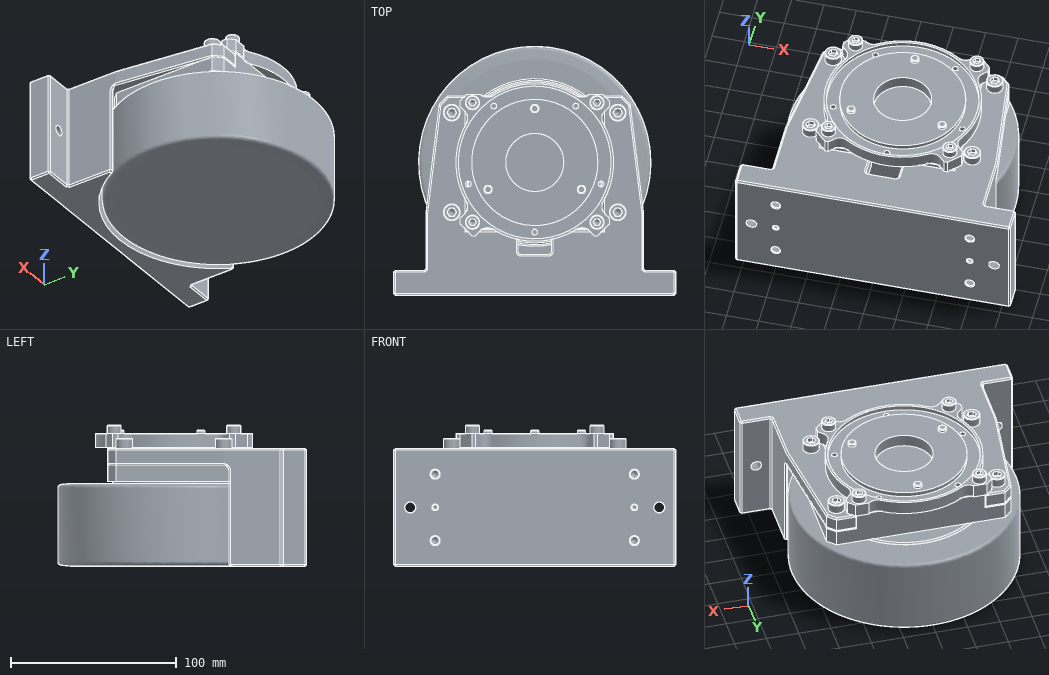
import cadquery as cq
import math


BASE_WIDTH = 170.0
BASE_THICKNESS = 15.0
BASE_FRONT_Y = -80.0
BASE_BACK_Y = BASE_FRONT_Y + BASE_THICKNESS
BRACKET_HEIGHT = 71.0
BODY_WIDTH = 131.0
TAPER_START_Y = -30.0
PLATE_WIDTH = 115.0
PLATE_BACK_Y = 40.0
PLATE_CORNER = 5.0
PLATE_BOTTOM_Z = 61.0
WALL_BACK_Y = -33.2
WALL_FILLET = 4.0
EDGE_CHAMFER = 1.0

MOTOR_RADIUS = 70.0
MOTOR_HEIGHT = 50.0
MOTOR_FLAT_RADIUS = 62.0
MOTOR_CONE_DROP = 0.8
MOTOR_RIM_FILLET = 2.3
MOTOR_POCKET_RADIUS = 72.0
GROOVE_INNER_RADIUS = 48.5
GROOVE_OUTER_RADIUS = 50.5
GROOVE_DEPTH = 1.0
SPACER_RADIUS = 37.0
HOUSING_BOTTOM_Z = 51.0
GEAR_BODY_WIDTH = 80.0

OPENING_HALF_WIDTH = 40.5
OPENING_CHAMFER = 1.5
NOTCH_WIDTH = 20.0
NOTCH_FRONT_Y = -55.5
NOTCH_CORNER_RADIUS = 2.0

FLANGE_BOTTOM_Z = 71.5
FLANGE_TOP_Z = 80.0
FLANGE_RADIUS = 47.5
RIM_INNER_RADIUS = 46.0
RIM_DEPTH = 3.0
DISC_RADIUS = 38.0
BORE_DIAMETER = 35.0
BORE_DEPTH = 8.0
LUG_HALF_WIDTH = 7.0
LUG_REACH = 58.0
LUG_LIMIT_X = 45.0
LUG_LIMIT_FRONT_Y = -44.2
LUG_LIMIT_BACK_Y = 41.0
LUG_FILLET = 6.0
LUG_TRIM_X = 26.0
FLANGE_HOLE_DIAMETER = 3.4
FLANGE_HOLE_CIRCLE_RADIUS = 42.0
FLANGE_HOLE_COUNT = 5
PIN_DIAMETER = 5.0
PIN_HEIGHT = 2.0
PIN_CHAMFER = 0.5
PIN_CIRCLE_RADIUS = 32.5
PIN_COUNT = 3
FIRST_PIN_ANGLE = 90.0
FIRST_HOLE_ANGLE = 270.0

FLANGE_SCREW_X, FLANGE_SCREW_Y = 37.5, 36.0
FLANGE_SCREW_HEAD = (8.5, 5.0, 4.0)
PLATE_SCREW_X, PLATE_SCREW_Y = 50.0, 30.0
PLATE_SCREW_HEAD = (10.0, 6.0, 5.0)
HEAD_CHAMFER = 0.4
DRILL_POINT_ANGLE = 118.0

FRONT_HOLE_Z = BRACKET_HEIGHT / 2
TAPPED_X, TAPPED_RISE = 60.0, 20.0
TAPPED_DIAMETER, TAPPED_MOUTH, TAPPED_DEPTH = 5.0, 6.0, 12.0
DOWEL_DIAMETER, DOWEL_MOUTH, DOWEL_DEPTH = 3.0, 4.0, 8.0
CLEARANCE_X, CLEARANCE_DIAMETER = 75.0, 6.4

OVERLAP = 1.0


def corners(x, y):
    """The four points at (+-x, +-y)."""
    return [(sx * x, sy * y) for sx in (-1, 1) for sy in (-1, 1)]


def cylinder(radius, bottom, top):
    return cq.Workplane("XY").workplane(offset=bottom).circle(radius).extrude(top - bottom)


def box(x_min, x_max, y_min, y_max, z_min, z_max):
    size = (x_max - x_min, y_max - y_min, z_max - z_min)
    return cq.Workplane("XY").box(*size, centered=False).translate((x_min, y_min, z_min))


def circle_points(radius, count, first_angle):
    angles = [math.radians(first_angle + 360.0 * i / count) for i in range(count)]
    return [(radius * math.cos(a), radius * math.sin(a)) for a in angles]


def make_bracket():
    """Base flange, upright body and the tapered plate that overhangs the motor."""
    right_side = [
        (BASE_WIDTH / 2, BASE_FRONT_Y),
        (BASE_WIDTH / 2, BASE_BACK_Y),
        (BODY_WIDTH / 2, BASE_BACK_Y),
        (BODY_WIDTH / 2, TAPER_START_Y),
        (PLATE_WIDTH / 2, PLATE_BACK_Y - PLATE_CORNER),
        (PLATE_WIDTH / 2 - PLATE_CORNER, PLATE_BACK_Y),
    ]
    left_side = [(-x, y) for x, y in reversed(right_side)]
    bracket = cq.Workplane("XY").polyline(right_side + left_side).close().extrude(BRACKET_HEIGHT)
    base_edges = cq.selectors.BoxSelector(
        (-BASE_WIDTH, BASE_FRONT_Y - OVERLAP, 0), (BASE_WIDTH, BASE_BACK_Y + OVERLAP, BRACKET_HEIGHT)
    )
    bracket = bracket.edges("|Z").edges(base_edges).chamfer(EDGE_CHAMFER)

    space = box(
        -BASE_WIDTH, BASE_WIDTH, WALL_BACK_Y, PLATE_BACK_Y + OVERLAP, -OVERLAP, PLATE_BOTTOM_Z
    ).edges("<Y and >Z").fillet(WALL_FILLET)
    bracket = bracket.cut(space)
    bracket = bracket.faces(">Z or <Z").edges().chamfer(EDGE_CHAMFER)

    rim_front_y = WALL_BACK_Y - EDGE_CHAMFER / 2
    rim_top_z = PLATE_BOTTOM_Z + EDGE_CHAMFER / 2
    inner_x = PLATE_WIDTH / 2 - PLATE_CORNER
    rim = cq.selectors.BoxSelector(
        (-inner_x, PLATE_BACK_Y - EDGE_CHAMFER / 2, 0), (inner_x, PLATE_BACK_Y + OVERLAP, rim_top_z)
    )
    for side in (-1, 1):
        rim = rim + cq.selectors.BoxSelector(
            (side * inner_x, rim_front_y, 0), (side * BASE_WIDTH, PLATE_BACK_Y, rim_top_z)
        )
    bracket = bracket.edges(rim).chamfer(EDGE_CHAMFER)
    return bracket.cut(cylinder(MOTOR_POCKET_RADIUS, -OVERLAP, PLATE_BOTTOM_Z))


def cut_plate_openings(bracket):
    """Square seat for the gear body, open at the back, and the notch in front of it."""
    half = OPENING_HALF_WIDTH
    back = PLATE_BACK_Y + 2 * OPENING_CHAMFER
    opening = box(-half, half, -half, back, PLATE_BOTTOM_Z, BRACKET_HEIGHT)
    mouth = half + OPENING_CHAMFER
    opening_chamfer = (
        cq.Workplane("XY")
        .workplane(offset=BRACKET_HEIGHT)
        .rect(2 * mouth, 2 * mouth)
        .extrude(-OPENING_CHAMFER, taper=45)
    )
    notch = (
        box(-NOTCH_WIDTH / 2, NOTCH_WIDTH / 2, NOTCH_FRONT_Y, -half, PLATE_BOTTOM_Z, BRACKET_HEIGHT)
        .edges("|Z and <Y")
        .fillet(NOTCH_CORNER_RADIUS)
    )
    notch_mouth = notch.faces(">Z").wires().toPending().workplane().offset2D(EDGE_CHAMFER)
    notch_chamfer = notch_mouth.extrude(-EDGE_CHAMFER, taper=45, combine=False)
    return bracket.cut(opening).cut(opening_chamfer).cut(notch).cut(notch_chamfer)


def front_hole(x, z, diameter, depth, mouth):
    """Blind hole in the front face with a countersunk mouth and a conical bottom."""
    radius = diameter / 2
    sink = (mouth - diameter) / 2
    tip = radius / math.tan(math.radians(DRILL_POINT_ANGLE / 2))
    profile = [(0, 0), (mouth / 2, 0), (radius, sink), (radius, depth), (0, depth + tip)]
    hole = cq.Workplane("XY").polyline(profile).close().revolve(360, (0, 0, 0), (0, 1, 0))
    return hole.translate((x, BASE_FRONT_Y, z))


def drill_front(bracket):
    for side in (-1, 1):
        x = side * TAPPED_X
        for rise in (-TAPPED_RISE, TAPPED_RISE):
            z = FRONT_HOLE_Z + rise
            bracket = bracket.cut(front_hole(x, z, TAPPED_DIAMETER, TAPPED_DEPTH, TAPPED_MOUTH))
        bracket = bracket.cut(front_hole(x, FRONT_HOLE_Z, DOWEL_DIAMETER, DOWEL_DEPTH, DOWEL_MOUTH))
        clearance = (
            cq.Workplane("XZ", origin=(side * CLEARANCE_X, BASE_FRONT_Y, FRONT_HOLE_Z))
            .circle(CLEARANCE_DIAMETER / 2)
            .extrude(-BASE_THICKNESS - OVERLAP)
        )
        bracket = bracket.cut(clearance)
    return bracket


def make_motor():
    """Round motor with slightly conical ends, rounded rims and a V groove in its top."""
    groove_middle = (GROOVE_INNER_RADIUS + GROOVE_OUTER_RADIUS) / 2
    profile = [
        (0, 0),
        (MOTOR_FLAT_RADIUS, 0),
        (MOTOR_RADIUS, MOTOR_CONE_DROP),
        (MOTOR_RADIUS, MOTOR_HEIGHT - MOTOR_CONE_DROP),
        (MOTOR_FLAT_RADIUS, MOTOR_HEIGHT),
        (GROOVE_OUTER_RADIUS, MOTOR_HEIGHT),
        (groove_middle, MOTOR_HEIGHT - GROOVE_DEPTH),
        (GROOVE_INNER_RADIUS, MOTOR_HEIGHT),
        (0, MOTOR_HEIGHT),
    ]
    motor = cq.Workplane("XZ").polyline(profile).close().revolve(360, (0, 0, 0), (0, 1, 0))
    rims = cq.selectors.RadiusNthSelector(-1)
    return motor.edges("%CIRCLE").edges(rims).fillet(MOTOR_RIM_FILLET)


def make_housing():
    """Rectangular housing under the plate, its spacer below and the gear body above."""
    depth = GEAR_BODY_WIDTH / 2
    housing = box(-PLATE_WIDTH / 2, PLATE_WIDTH / 2, -depth, depth, HOUSING_BOTTOM_Z, PLATE_BOTTOM_Z)
    housing = housing.edges("|Z").chamfer(PLATE_CORNER)
    spacer = cylinder(SPACER_RADIUS, MOTOR_HEIGHT, HOUSING_BOTTOM_Z)
    gear_body = box(-depth, depth, -depth, depth, PLATE_BOTTOM_Z, FLANGE_BOTTOM_Z)
    return housing.union(spacer).union(gear_body)


def lug_arm(x, y):
    """Diagonal arm from the axis past the screw at (x, y), square to its quadrant's bisector."""
    angle = math.atan2(math.copysign(1, y), math.copysign(1, x))
    sideways = y * math.cos(angle) - x * math.sin(angle)
    arm = box(
        0, LUG_REACH, sideways - LUG_HALF_WIDTH, sideways + LUG_HALF_WIDTH, FLANGE_BOTTOM_Z, FLANGE_TOP_Z
    )
    return arm.rotate((0, 0, 0), (0, 0, 1), math.degrees(angle))


def make_flange():
    """Round flange with four screw lugs, a raised rim, a central disc and a blind bore."""
    flange = cylinder(FLANGE_RADIUS, FLANGE_BOTTOM_Z, FLANGE_TOP_Z)
    for x, y in corners(FLANGE_SCREW_X, FLANGE_SCREW_Y):
        flange = flange.union(lug_arm(x, y))
    lug_roots = cq.selectors.BoxSelector(
        (-LUG_LIMIT_BACK_Y, -LUG_LIMIT_BACK_Y, FLANGE_BOTTOM_Z),
        (LUG_LIMIT_BACK_Y, LUG_LIMIT_BACK_Y, FLANGE_TOP_Z),
    )
    flange = flange.edges("|Z").edges(lug_roots).fillet(LUG_FILLET)
    return recess_flange(trim_lugs(flange))


def trim_lugs(flange):
    """Cut the lug tips flat at the sides, the front and the back."""
    for side in (-1, 1):
        near_x, far_x = sorted((side * LUG_TRIM_X, side * LUG_REACH))
        edge_x, outer_x = sorted((side * LUG_LIMIT_X, side * LUG_REACH))
        heights = (FLANGE_BOTTOM_Z, FLANGE_TOP_Z)
        flange = flange.cut(box(near_x, far_x, LUG_LIMIT_BACK_Y, LUG_REACH, *heights))
        flange = flange.cut(box(near_x, far_x, -LUG_REACH, LUG_LIMIT_FRONT_Y, *heights))
        flange = flange.cut(box(edge_x, outer_x, LUG_TRIM_X, LUG_REACH, *heights))
        flange = flange.cut(box(edge_x, outer_x, -LUG_REACH, -LUG_TRIM_X, *heights))
    return flange


def recess_flange(flange):
    """Ring recess between rim and disc, central bore, small holes and pins."""
    floor_z = FLANGE_TOP_Z - RIM_DEPTH
    ring = cylinder(RIM_INNER_RADIUS, floor_z, FLANGE_TOP_Z).cut(
        cylinder(DISC_RADIUS, floor_z, FLANGE_TOP_Z)
    )
    bore = cylinder(BORE_DIAMETER / 2, FLANGE_TOP_Z - BORE_DEPTH, FLANGE_TOP_Z)
    flange = flange.cut(ring).cut(bore)
    for x, y in circle_points(FLANGE_HOLE_CIRCLE_RADIUS, FLANGE_HOLE_COUNT, FIRST_HOLE_ANGLE):
        hole = cylinder(FLANGE_HOLE_DIAMETER / 2, FLANGE_BOTTOM_Z, floor_z)
        flange = flange.cut(hole.translate((x, y, 0)))
    for x, y in circle_points(PIN_CIRCLE_RADIUS, PIN_COUNT, FIRST_PIN_ANGLE):
        pin = cylinder(PIN_DIAMETER / 2, FLANGE_TOP_Z, FLANGE_TOP_Z + PIN_HEIGHT)
        flange = flange.union(pin.faces(">Z").chamfer(PIN_CHAMFER).translate((x, y, 0)))
    return flange


def screw_head(diameter, height, socket_width):
    """Cylindrical head standing on z = 0 with a hexagon socket and a conical socket bottom."""
    head = cylinder(diameter / 2, 0, height).faces(">Z").edges().chamfer(HEAD_CHAMFER)
    socket_depth = height / 2
    corner_radius = socket_width / math.sqrt(3)
    socket = (
        cq.Workplane("XY")
        .workplane(offset=height)
        .polygon(6, 2 * corner_radius)
        .extrude(-socket_depth)
    )
    tip_depth = socket_width / 2 / math.tan(math.radians(DRILL_POINT_ANGLE / 2))
    tip = cq.Workplane(
        cq.Solid.makeCone(
            socket_width / 2, 0, tip_depth, cq.Vector(0, 0, height - socket_depth), cq.Vector(0, 0, -1)
        )
    )
    return head.cut(socket).cut(tip)


def make_screws():
    flange_head = screw_head(*FLANGE_SCREW_HEAD)
    plate_head = screw_head(*PLATE_SCREW_HEAD)
    heads = [flange_head.translate((x, y, FLANGE_TOP_Z)) for x, y in corners(FLANGE_SCREW_X, FLANGE_SCREW_Y)]
    heads += [plate_head.translate((x, y, BRACKET_HEIGHT)) for x, y in corners(PLATE_SCREW_X, PLATE_SCREW_Y)]
    return heads


result = drill_front(cut_plate_openings(make_bracket()))
for piece in [make_motor(), make_housing(), make_flange(), *make_screws()]:
    result = result.union(piece)